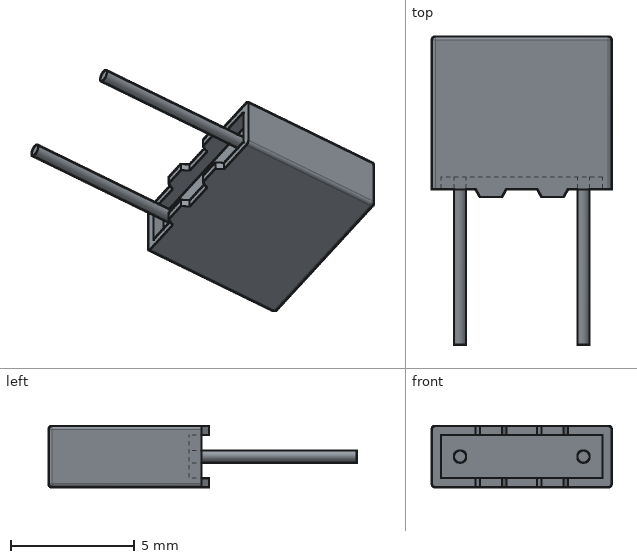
import cadquery as cq

total_length = 12.5
case_width = 7.3
case_height = 2.5
case_length = 6.2
wall = 0.38
edge_radius = 0.15
recess_depth = 0.5

foot_spacing = 2.5
foot_root_width = 1.25
foot_tip_width = 0.9
foot_length = 0.31

lead_spacing = 5.0
lead_diameter = 0.5

rear_y = total_length / 2
lead_tip_y = -total_length / 2
rim_y = rear_y - case_length
recess_floor_y = rim_y + recess_depth


def make_foot(center_x):
    """Tapered foot across the full case height, rooted on the rim."""
    tip_y = rim_y - foot_length
    return (
        cq.Workplane("XY")
        .workplane(offset=-case_height / 2)
        .polyline([
            (center_x - foot_root_width / 2, rim_y),
            (center_x - foot_tip_width / 2, tip_y),
            (center_x + foot_tip_width / 2, tip_y),
            (center_x + foot_root_width / 2, rim_y),
        ])
        .close()
        .extrude(case_height)
    )


def make_case():
    """Rounded box with feet and a shallow rectangular recess in the lead side."""
    case = (
        cq.Workplane("XY")
        .box(case_width, case_length, case_height)
        .translate((0, rear_y - case_length / 2, 0))
        .edges("|Y or >Y")
        .fillet(edge_radius)
    )
    for side in (-1, 1):
        case = case.union(make_foot(side * foot_spacing / 2))

    cut_length = recess_depth + foot_length
    recess = (
        cq.Workplane("XY")
        .box(case_width - 2 * wall, cut_length, case_height - 2 * wall)
        .translate((0, recess_floor_y - cut_length / 2, 0))
    )
    return case.cut(recess)


def make_lead(center_x):
    """Round wire from the recess floor to the lead tip."""
    return (
        cq.Workplane("XZ", origin=(center_x, recess_floor_y, 0))
        .circle(lead_diameter / 2)
        .extrude(recess_floor_y - lead_tip_y)
    )


case = make_case()
leads = [make_lead(side * lead_spacing / 2) for side in (-1, 1)]

result = cq.Compound.makeCompound([case.val(), *[lead.val() for lead in leads]])